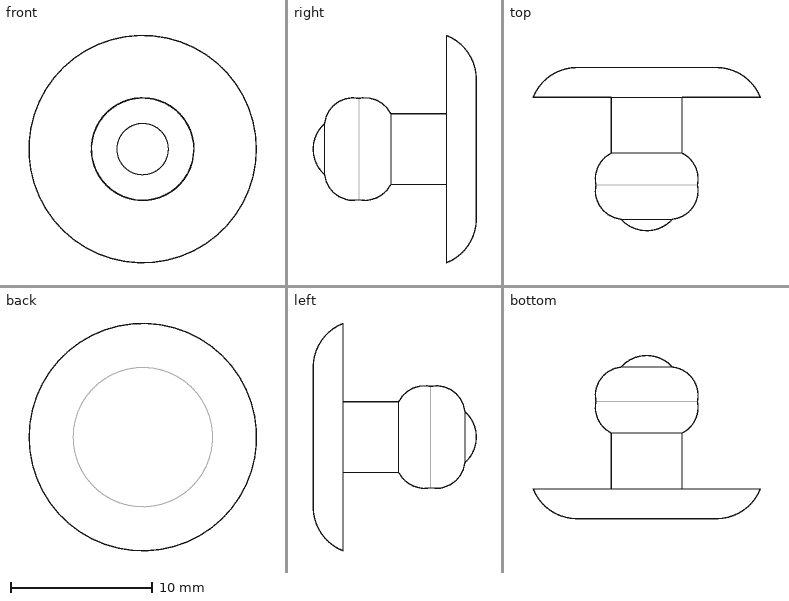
import cadquery as cq
import math


disc_radius = 8.065
disc_thickness = 2.13
disc_edge_arc_radius = 3.36

shank_radius = 2.52
shank_length = 3.94

knob_arc_radius = 2.04
knob_max_radius = 3.65
knob_arc_spacing = 0.84

nose_base_radius = 1.82
total_length = 11.58

edge_center_y = disc_thickness - disc_edge_arc_radius
edge_center_radius = disc_radius - math.sqrt(disc_edge_arc_radius**2 - edge_center_y**2)

knob_center_radius = knob_max_radius - knob_arc_radius
near_center_y = -shank_length - math.sqrt(
    knob_arc_radius**2 - (shank_radius - knob_center_radius) ** 2
)
far_center_y = near_center_y - knob_arc_spacing
groove_y = (near_center_y + far_center_y) / 2
groove_radius = knob_center_radius + math.sqrt(
    knob_arc_radius**2 - (knob_arc_spacing / 2) ** 2
)
knob_end_y = far_center_y - math.sqrt(
    knob_arc_radius**2 - (nose_base_radius - knob_center_radius) ** 2
)

nose_tip_y = disc_thickness - total_length
nose_height = knob_end_y - nose_tip_y
nose_sphere_radius = (nose_base_radius**2 + nose_height**2) / (2 * nose_height)
nose_center_y = nose_tip_y + nose_sphere_radius


def arc_middle(center, start, end):
    """Point halfway along the arc from start to end about center."""
    start_angle = math.atan2(start[1] - center[1], start[0] - center[0])
    end_angle = math.atan2(end[1] - center[1], end[0] - center[0])
    middle_angle = (start_angle + end_angle) / 2
    radius = math.dist(center, start)
    return (
        center[0] + radius * math.cos(middle_angle),
        center[1] + radius * math.sin(middle_angle),
    )


def stud():
    """Half profile as (radius, y) points, revolved about the Y axis."""
    disc_face_edge = (edge_center_radius, disc_thickness)
    disc_rim = (disc_radius, 0)
    shank_end = (shank_radius, -shank_length)
    groove = (groove_radius, groove_y)
    knob_end = (nose_base_radius, knob_end_y)
    nose_tip = (0, nose_tip_y)

    edge_middle = arc_middle((edge_center_radius, edge_center_y), disc_face_edge, disc_rim)
    near_middle = arc_middle((knob_center_radius, near_center_y), shank_end, groove)
    far_middle = arc_middle((knob_center_radius, far_center_y), groove, knob_end)
    nose_middle = arc_middle((0, nose_center_y), knob_end, nose_tip)

    profile = (
        cq.Workplane("XY")
        .moveTo(0, disc_thickness)
        .lineTo(*disc_face_edge)
        .threePointArc(edge_middle, disc_rim)
        .lineTo(shank_radius, 0)
        .lineTo(*shank_end)
        .threePointArc(near_middle, groove)
        .threePointArc(far_middle, knob_end)
        .threePointArc(nose_middle, nose_tip)
        .close()
    )
    return profile.revolve(360, (0, 0, 0), (0, 1, 0))


result = stud()